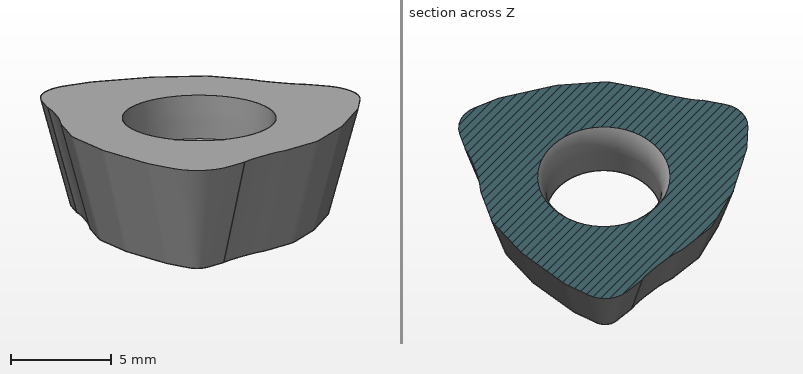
import cadquery as cq
import math

side_count = 3
side_step = 360 / side_count
thickness = 5.56
clearance_angle = 15

nose_radius = 2.265

waist_normal = -120.4
waist_faces = [
    (waist_normal, 6.855, 1.0),
    (-110.3, 6.112, 5.5),
    (-121.0, 6.787, 5.0),
    (-132.2, 6.915, 1.0),
    (waist_normal, 6.905, 1.0),
]
wiper_faces = [
    (-101.0, 7.000, 1.0),
    (-90.0, 7.222, 1.0),
    (-78.4, 7.797, None),
]

recess_top_diameter = 7.64
recess_bottom_diameter = 7.54
recess_depth = 2.25
bore_diameter = 5.7
bore_height = 1.43


def rotated(point, degrees):
    """Point turned about the Z axis."""
    angle = math.radians(degrees)
    x, y = point
    return (
        x * math.cos(angle) - y * math.sin(angle),
        x * math.sin(angle) + y * math.cos(angle),
    )


def direction(degrees):
    """Unit vector in the XY plane."""
    return rotated((1, 0), degrees)


def along(start, vector, length):
    """Point at a signed distance from a start point along a unit vector."""
    return (start[0] + length * vector[0], start[1] + length * vector[1])


def line_crossing(normal_a, distance_a, normal_b, distance_b):
    """Crossing of two lines given by normal direction and distance from the axis."""
    ax, ay = direction(normal_a)
    bx, by = direction(normal_b)
    determinant = ax * by - ay * bx
    return (
        (distance_a * by - distance_b * ay) / determinant,
        (ax * distance_b - bx * distance_a) / determinant,
    )


def faces_at(inset):
    """Flank faces at the level where the outline has moved inward by the inset."""
    faces = []
    for normal, distance, radius in waist_faces:
        face_inset = inset * math.cos(math.radians(normal - waist_normal))
        faces.append((normal, distance - face_inset, radius))
    for normal, distance, radius in wiper_faces:
        faces.append((normal, distance - inset, radius))
    return faces


def nose_arc(first_face, last_face, radius):
    """Start, middle and end of the nose arc, tangent to the faces on either side."""
    exit_normal, exit_distance, _ = first_face
    last_normal, last_distance, _ = last_face
    entry_normal = last_normal - side_step
    center = line_crossing(
        entry_normal, last_distance - radius, exit_normal, exit_distance - radius
    )
    middle_normal = (entry_normal + exit_normal) / 2
    return [
        along(center, direction(normal), radius)
        for normal in (entry_normal, middle_normal, exit_normal)
    ]


def blend_arc(face, next_face):
    """Start, middle and end of the rounding between two neighbouring flank faces."""
    normal, distance, radius = face
    next_normal, next_distance, _ = next_face
    corner = line_crossing(normal, distance, next_normal, next_distance)
    half_turn = math.radians(next_normal - normal) / 2
    tangent_length = radius * math.tan(abs(half_turn))
    bulge = math.copysign(radius * (1 / math.cos(half_turn) - 1), -half_turn)
    return [
        along(corner, direction(normal + 90), -tangent_length),
        along(corner, direction((normal + next_normal) / 2), bulge),
        along(corner, direction(next_normal + 90), tangent_length),
    ]


def make_outline(plane, inset):
    """Closed outline moved inward from the top outline by the inset."""
    faces = faces_at(inset)
    side_arcs = [nose_arc(faces[0], faces[-1], nose_radius - inset)]
    for face, next_face in zip(faces, faces[1:]):
        side_arcs.append(blend_arc(face, next_face))

    outline = plane.moveTo(*side_arcs[0][0])
    for side in range(side_count):
        for number, arc in enumerate(side_arcs):
            start, middle, end = [rotated(point, side * side_step) for point in arc]
            if side > 0 or number > 0:
                outline = outline.lineTo(*start)
            outline = outline.threePointArc(middle, end)
    return outline.close()


def make_body():
    """Insert body ruled between the top outline and the smaller bottom outline."""
    bottom_inset = thickness * math.tan(math.radians(clearance_angle))
    bottom = make_outline(cq.Workplane("XY"), bottom_inset)
    both = make_outline(bottom.workplane(offset=thickness), 0)
    return both.loft(ruled=True)


def make_screw_hole():
    """Nearly cylindrical head recess, convex curved seat and straight bore."""
    bore_radius = bore_diameter / 2
    seat_radius = recess_bottom_diameter / 2
    seat_height = thickness - recess_depth
    drop = seat_height - bore_height
    flare = seat_radius - bore_radius
    arc_radius = (drop ** 2 + flare ** 2) / (2 * flare)
    half_sweep = math.asin(drop / arc_radius) / 2
    arc_middle = (
        bore_radius + arc_radius * (1 - math.cos(half_sweep)),
        bore_height + arc_radius * math.sin(half_sweep),
    )
    return (
        cq.Workplane("XZ")
        .lineTo(bore_radius, 0)
        .lineTo(bore_radius, bore_height)
        .threePointArc(arc_middle, (seat_radius, seat_height))
        .lineTo(recess_top_diameter / 2, thickness)
        .lineTo(0, thickness)
        .close()
        .revolve(360, (0, 0, 0), (0, 1, 0))
    )


result = make_body().cut(make_screw_hole())